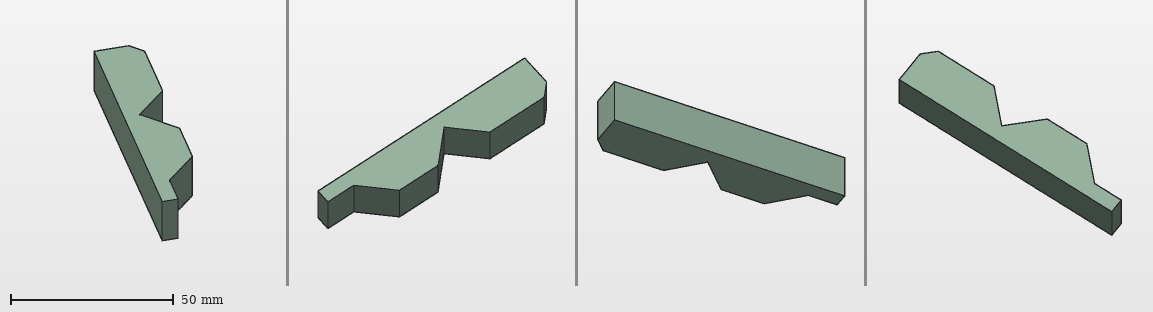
import cadquery as cq

length = 80.0
width = 15.0
height = 15.0

corner_chamfer = 4.0
cut_depth = 10.0
notch_center = 35.0
lip_length = 10.0

floor_y = width - cut_depth
lip_start = length - lip_length

outline = [
    (0, 0),
    (length, 0),
    (length, floor_y),
    (lip_start, floor_y),
    (lip_start - cut_depth, width),
    (notch_center + cut_depth, width),
    (notch_center, floor_y),
    (notch_center - cut_depth, width),
    (corner_chamfer, width),
    (0, width - corner_chamfer),
]

result = cq.Workplane("XY").polyline(outline).close().extrude(height)